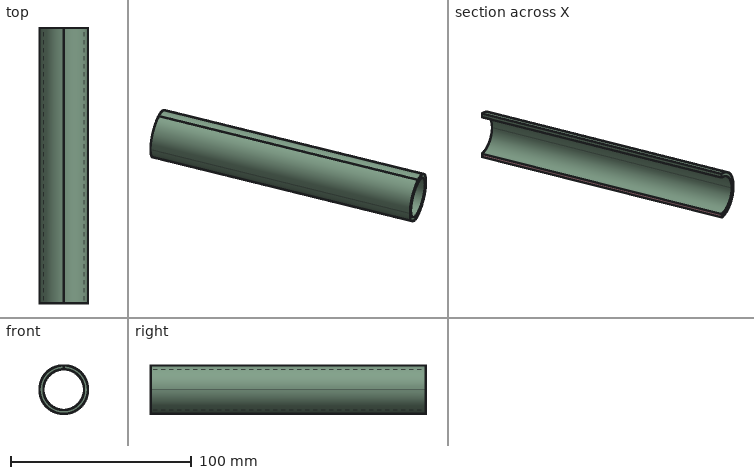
import cadquery as cq

length = 152.4
outer_diameter = 27.0
wall = 2.3
seam_width = 0.1

outer_radius = outer_diameter / 2
inner_radius = outer_radius - wall


def make_tube():
    profile = cq.Workplane("XZ", origin=(0, length / 2, 0)).circle(outer_radius).circle(inner_radius)
    return profile.extrude(length)


def make_seam_cutter():
    cutter_height = outer_radius + wall
    return cq.Workplane("XY").box(seam_width, 2 * length, cutter_height, centered=(True, True, False))


result = make_tube().cut(make_seam_cutter())